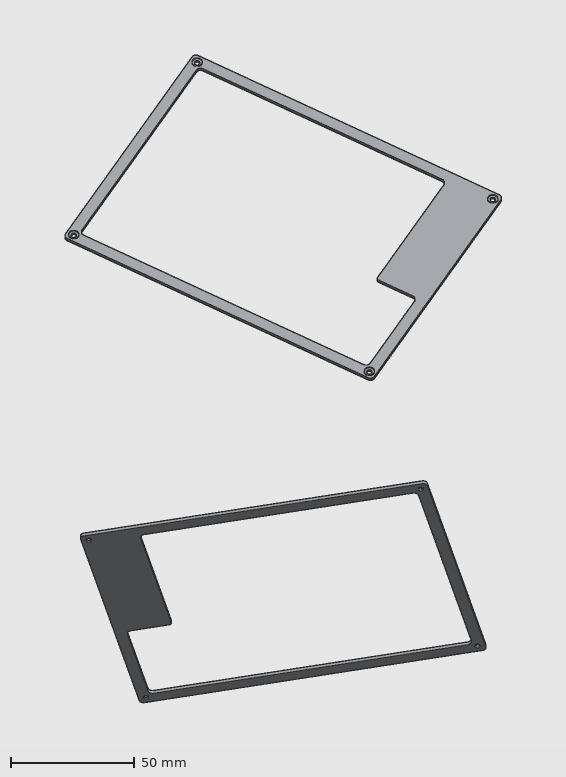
import cadquery as cq

LENGTH = 144.7
WIDTH = 106.7
THICKNESS = 1.6
OUTER_RADIUS = 1.85

RIM = 4.85
PAD_LENGTH_X = 23.85
PAD_LENGTH_Y = 61.85
WINDOW_RADIUS = 2.0
PAD_CORNER_RADIUS = 1.0

HOLE_DIAMETER = 2.2
BORE_DIAMETER = 4.2
BORE_DEPTH = 0.5
HOLE_INSET = 3.1


def make_plate():
    """Rounded rectangular plate, centred in X and Y, resting on Z = 0."""
    plate = cq.Workplane("XY").box(LENGTH, WIDTH, THICKNESS, centered=(True, True, False))
    return plate.edges("|Z").fillet(OUTER_RADIUS)


def make_window():
    """L-shaped cutter: the area inside the rim, less the corner pad."""
    right = LENGTH / 2 - RIM
    top = WIDTH / 2 - RIM
    pad_left = LENGTH / 2 - PAD_LENGTH_X
    pad_bottom = WIDTH / 2 - PAD_LENGTH_Y
    outline = [
        (-right, -top),
        (right, -top),
        (right, pad_bottom),
        (pad_left, pad_bottom),
        (pad_left, top),
        (-right, top),
    ]
    window = cq.Workplane("XY").polyline(outline).close().extrude(THICKNESS)

    for x, y in outline:
        is_pad_corner = (x, y) == (pad_left, pad_bottom)
        radius = PAD_CORNER_RADIUS if is_pad_corner else WINDOW_RADIUS
        corner = cq.selectors.NearestToPointSelector((x, y, THICKNESS / 2))
        window = window.edges("|Z").edges(corner).fillet(radius)
    return window


def drill_corner_holes(body):
    """Counterbore a through hole from the top face near each outer corner."""
    spacing_x = LENGTH - 2 * HOLE_INSET
    spacing_y = WIDTH - 2 * HOLE_INSET
    top_face = body.faces(">Z").workplane(origin=(0, 0, THICKNESS))
    centres = top_face.rarray(spacing_x, spacing_y, 2, 2)
    return centres.cboreHole(HOLE_DIAMETER, BORE_DIAMETER, BORE_DEPTH)


result = drill_corner_holes(make_plate().cut(make_window()))